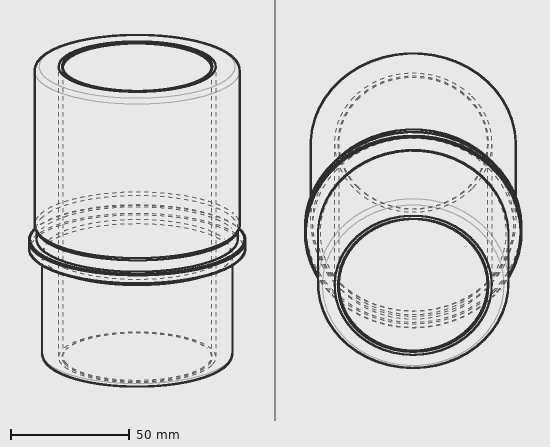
import cadquery as cq
import math

UPPER_DIAMETER = 87.0
NECK_DIAMETER = 85.3
FLANGE_DIAMETER = 91.9
LOWER_DIAMETER = 80.7

TOTAL_HEIGHT = 130.0
FLANGE_BOTTOM = 48.2
FLANGE_THICKNESS = 4.5
FLANGE_TOP = FLANGE_BOTTOM + FLANGE_THICKNESS
NECK_TOP = 57.8
NECK_TAPER_HEIGHT = 1.3

END_ROUND = 2.0
FLANGE_CHAMFER = 0.5
RELIEF_RADIUS = 3.0
RELIEF_DEPTH = 0.98

LINER_DIAMETER = 66.5
BORE_DIAMETER = 62.9
BORE_CHAMFER = 0.4


def cylinder(diameter, bottom, top):
    """Solid cylinder on the Z axis between two heights."""
    return cq.Workplane("XY").workplane(offset=bottom).circle(diameter / 2).extrude(top - bottom)


def make_lower_barrel():
    """Lower barrel with a rounded end and a concave relief under the flange."""
    outer_radius = LOWER_DIAMETER / 2
    relief_radius = outer_radius - RELIEF_DEPTH
    relief_angle = math.acos(1 - RELIEF_DEPTH / RELIEF_RADIUS)
    relief_start = FLANGE_BOTTOM - RELIEF_RADIUS * math.sin(relief_angle)
    relief_middle = (
        relief_radius + RELIEF_RADIUS * (1 - math.cos(relief_angle / 2)),
        FLANGE_BOTTOM - RELIEF_RADIUS * math.sin(relief_angle / 2),
    )
    half_profile = (
        cq.Workplane("XZ")
        .lineTo(outer_radius, 0)
        .lineTo(outer_radius, relief_start)
        .threePointArc(relief_middle, (relief_radius, FLANGE_BOTTOM))
        .lineTo(0, FLANGE_BOTTOM)
        .close()
    )
    barrel = half_profile.revolve(360, (0, 0, 0), (0, 1, 0))
    return barrel.faces("<Z").edges().fillet(END_ROUND)


def make_neck_taper():
    """Short cone widening from the neck to the upper barrel."""
    neck_end = cq.Workplane("XY").workplane(offset=NECK_TOP).circle(NECK_DIAMETER / 2)
    return neck_end.workplane(offset=NECK_TAPER_HEIGHT).circle(UPPER_DIAMETER / 2).loft()


def make_sleeve():
    """Stepped outer sleeve with an integral flange, bored to hold the liner."""
    flange = cylinder(FLANGE_DIAMETER, FLANGE_BOTTOM, FLANGE_TOP).edges().chamfer(FLANGE_CHAMFER)
    neck = cylinder(NECK_DIAMETER, FLANGE_TOP, NECK_TOP)
    upper = cylinder(UPPER_DIAMETER, NECK_TOP + NECK_TAPER_HEIGHT, TOTAL_HEIGHT)
    upper = upper.faces(">Z").edges().fillet(END_ROUND)
    body = make_lower_barrel().union(flange).union(neck).union(make_neck_taper()).union(upper)
    return body.cut(cylinder(LINER_DIAMETER, 0, TOTAL_HEIGHT))


def make_liner():
    """Plain tube seated in the sleeve, with both bore mouths chamfered."""
    tube = cylinder(LINER_DIAMETER, 0, TOTAL_HEIGHT).cut(cylinder(BORE_DIAMETER, 0, TOTAL_HEIGHT))
    bore_rim = cq.selectors.RadiusNthSelector(0)
    return tube.faces("<Z or >Z").edges(bore_rim).chamfer(BORE_CHAMFER)


sleeve = make_sleeve()
liner = make_liner()

result = cq.Compound.makeCompound([sleeve.val(), liner.val()])